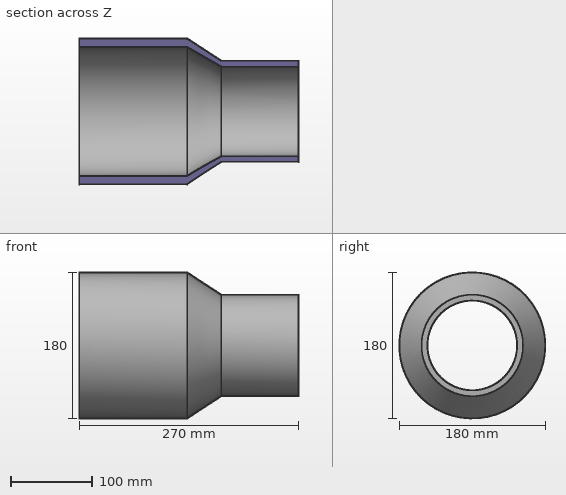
import cadquery as cq

total_length = 270.0
large_length = 132.8
small_length = 95.0
large_outer_diameter = 180.0
large_inner_diameter = 158.5
small_outer_diameter = 125.0
small_inner_diameter = 110.2

taper_start = large_length
taper_end = total_length - small_length


def stepped_solid(large_diameter, small_diameter):
    """Solid of revolution: large cylinder, cone, small cylinder."""
    large_radius = large_diameter / 2
    small_radius = small_diameter / 2
    return (
        cq.Workplane("XY")
        .moveTo(0, 0)
        .lineTo(0, large_radius)
        .lineTo(taper_start, large_radius)
        .lineTo(taper_end, small_radius)
        .lineTo(total_length, small_radius)
        .lineTo(total_length, 0)
        .close()
        .revolve(360, (0, 0, 0), (1, 0, 0))
    )


body = stepped_solid(large_outer_diameter, small_outer_diameter)
bore = stepped_solid(large_inner_diameter, small_inner_diameter)

result = body.cut(bore)